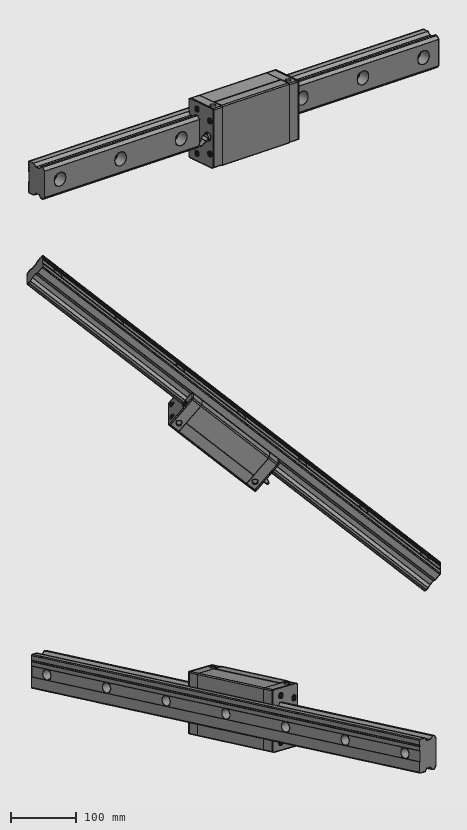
import cadquery as cq
import math

rail_length = 780.0
rail_base_x = -35.0
rail_height = 38.0
rail_half_width = 26.5
neck_half_width = 22.0
base_chamfer = 1.5
groove_start = 12.5
neck_start = 17.0
neck_end = 25.0
head_start = 30.0
head_end = 33.5

relief_width = 17.0
relief_depth = 1.0
marking_groove_z = 16.0
marking_groove_width = 2.0

hole_count = 7
hole_end_margin = 30.5
hole_pitch = (rail_length - 2 * hole_end_margin) / (hole_count - 1)
hole_diameter = 16.0
counterbore_diameter = 23.0
counterbore_depth = 20.0

carriage_y = 1.2
carriage_base_x = -22.0
carriage_top_x = 35.0
carriage_half_width = 49.0
chamfer_x = 2.0
chamfer_z = 1.5
block_length = 132.5
shoulder_half_width = 50.0
shoulder_start_x = 15.5
cap_thickness = 16.0
seal_thickness = 2.0
cap_start = block_length / 2
seal_start = cap_start + cap_thickness
seal_end = seal_start + seal_thickness

port_x = 23.0
port_diameter = 8.5
port_depth = 5.0
port_offset = cap_start + cap_thickness / 2

recess_diameter = 9.0
recess_depth = 1.0
head_diameter = 5.5
head_height = 1.5
socket_diameter = 4.2
socket_depth = 1.0
lower_head_x = -3.0
lower_head_z = 37.0
upper_head_x = 27.0
upper_head_z = 27.0

nipple_x = port_x
nipple_clearance_diameter = 14.0
stem_diameter = 10.0
neck_diameter = 8.5
stem_length = 5.0
neck_length = 1.5
collar_diameter = 10.0
collar_length = 5.5
spout_root_diameter = 8.5
spout_length = 10.0
spout_tip_diameter = 4.2
spout_angle = 45.0


def extrude_along_y(profile, start, end):
    """Extrude a closed (X, Z) outline between two Y positions."""
    return (
        cq.Workplane("XZ", origin=(0, start, 0))
        .polyline(profile)
        .close()
        .extrude(start - end)
    )


def mirrored_outline(half):
    """Close a half outline, listed with increasing X, by mirroring it across Z = 0."""
    return half + [(x, -z) for x, z in reversed(half)]


def rail_outline():
    heights_and_half_widths = [
        (0, rail_half_width - base_chamfer),
        (base_chamfer, rail_half_width),
        (groove_start, rail_half_width),
        (neck_start, neck_half_width),
        (neck_end, neck_half_width),
        (head_start, rail_half_width),
        (head_end, rail_half_width),
        (rail_height, neck_half_width),
    ]
    return mirrored_outline([(rail_base_x + h, z) for h, z in heights_and_half_widths])


def rail_blank():
    return extrude_along_y(rail_outline(), -rail_length / 2, rail_length / 2)


def base_groove(center_z, width):
    """Shallow groove along the whole mounting face of the rail."""
    return (
        cq.Workplane("XY")
        .box(2 * relief_depth, rail_length, width)
        .translate((rail_base_x, 0, center_z))
    )


def make_rail():
    rail = rail_blank()
    rail = rail.cut(base_groove(0, relief_width))
    rail = rail.cut(base_groove(marking_groove_z, marking_groove_width))
    first_hole_y = hole_end_margin - rail_length / 2
    hole_places = [(first_hole_y + i * hole_pitch, 0) for i in range(hole_count)]
    return (
        rail.copyWorkplane(cq.Workplane("YZ", origin=(rail_base_x + rail_height, 0, 0)))
        .pushPoints(hole_places)
        .cboreHole(hole_diameter, counterbore_diameter, counterbore_depth)
    )


def carriage_outline():
    return mirrored_outline([
        (carriage_base_x, carriage_half_width - chamfer_z),
        (carriage_base_x + chamfer_x, carriage_half_width),
        (carriage_top_x - chamfer_x, carriage_half_width),
        (carriage_top_x, carriage_half_width - chamfer_z),
    ])


def block_outline():
    return mirrored_outline([
        (carriage_base_x, carriage_half_width - chamfer_z),
        (carriage_base_x + chamfer_x, carriage_half_width),
        (shoulder_start_x, carriage_half_width),
        (shoulder_start_x, shoulder_half_width),
        (carriage_top_x - chamfer_x, shoulder_half_width),
        (carriage_top_x, shoulder_half_width - chamfer_z),
    ])


def carriage_slice(outline, side, inner, outer):
    """Slice of the carriage on one end (side is +1 or -1), with the rail's channel cut out."""
    ends = sorted((carriage_y + side * inner, carriage_y + side * outer))
    return extrude_along_y(outline, *ends).cut(rail_blank())


def make_block():
    return carriage_slice(block_outline(), 1, -block_length / 2, block_length / 2)


def make_cap(side):
    cap = carriage_slice(carriage_outline(), side, cap_start, seal_start)
    port_y = carriage_y + side * port_offset
    for face_sign in (1, -1):
        port = (
            cq.Workplane("XY", origin=(port_x, port_y, face_sign * carriage_half_width))
            .circle(port_diameter / 2)
            .extrude(-face_sign * port_depth)
        )
        cap = cap.cut(port)
    return cap


def add_screw_head(seal, side, x, z):
    """Sink a round recess into a seal and stand a socket head in its middle."""
    face = cq.Vector(x, carriage_y + side * seal_end, z)
    outward = cq.Vector(0, side, 0)
    recess_floor = face - outward * recess_depth
    socket_floor = face + outward * (head_height - socket_depth)
    recess = cq.Solid.makeCylinder(recess_diameter / 2, recess_depth, recess_floor, outward)
    head = cq.Solid.makeCylinder(head_diameter / 2, recess_depth + head_height, recess_floor, outward)
    socket = cq.Solid.makeCylinder(socket_diameter / 2, socket_depth, socket_floor, outward)
    return seal.cut(cq.Workplane(recess)).union(cq.Workplane(head)).cut(cq.Workplane(socket))


def make_seal(side):
    seal = carriage_slice(carriage_outline(), side, seal_start, seal_end)
    for x, z in ((lower_head_x, lower_head_z), (upper_head_x, upper_head_z)):
        for z_sign in (1, -1):
            seal = add_screw_head(seal, side, x, z_sign * z)
    return seal


def cut_nipple_clearance(seal):
    hole = (
        cq.Workplane("XZ", origin=(nipple_x, carriage_y - seal_start, 0))
        .circle(nipple_clearance_diameter / 2)
        .extrude(seal_thickness)
    )
    return seal.cut(hole)


def make_nipple():
    foot = cq.Vector(nipple_x, carriage_y - seal_start, 0)
    outward = cq.Vector(0, -1, 0)
    stem = cq.Solid.makeCylinder(stem_diameter / 2, stem_length, foot, outward)
    neck_foot = foot + outward * stem_length
    neck = cq.Solid.makeCylinder(neck_diameter / 2, neck_length, neck_foot, outward)
    elbow = neck_foot + outward * neck_length
    angle = math.radians(spout_angle)
    spout_direction = cq.Vector(0, -math.cos(angle), -math.sin(angle))
    collar = cq.Solid.makeCylinder(collar_diameter / 2, collar_length, elbow, spout_direction)
    spout_root = elbow + spout_direction * collar_length
    spout = cq.Solid.makeCone(
        spout_root_diameter / 2, spout_tip_diameter / 2, spout_length, spout_root, spout_direction
    )
    nipple = cq.Workplane("XY", origin=elbow.toTuple()).sphere(neck_diameter / 2)
    for piece in (stem, neck, collar, spout):
        nipple = nipple.union(cq.Workplane(piece))
    return nipple


rail = make_rail()
block = make_block()
caps = [make_cap(side) for side in (1, -1)]
back_seal = make_seal(1)
front_seal = cut_nipple_clearance(make_seal(-1))
nipple = make_nipple()

result = cq.Compound.makeCompound([
    rail.val(),
    block.val(),
    *[cap.val() for cap in caps],
    back_seal.val(),
    front_seal.val(),
    nipple.val(),
])